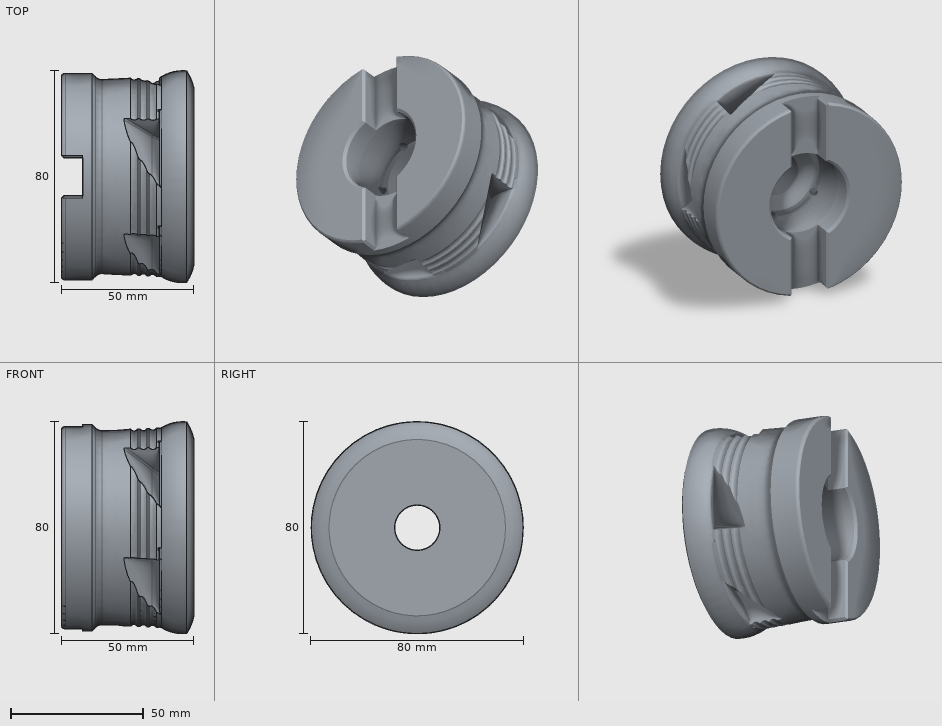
import cadquery as cq
import math

length = 50.0
rim_radius = 40.0
collar_radius = 78.0 / 2

collar_end = 11.45
collar_face_radius = 38.2
collar_round_middle = (0.65, 38.8)
collar_round_end = 1.45
collar_cone_end = 12.9
neck_blend_middle = (13.9, 36.9)
neck_blend_end = 15.4
neck_radius = 36.65
neck_taper = math.tan(math.radians(2.8))

groove_count = 3
first_groove = 26.0
groove_pitch = 3.5
groove_width = 2.8
groove_depth = 0.7

rim_start = 37.8
rim_lip = 37.0
rim_lip_radius = 36.65
rim_lip_middle = (37.2, 37.4)
rim_crest = 45.9
rim_edge = 47.2
end_face_radius = 33.3
rim_nose = (48.9, 36.8)
rim_root = 44.8
rim_root_radius = 20.8
rim_undercut_middle = (39.2, 28.8)

bore_radius = 32.0 / 2
relief_radius = 32.2 / 2
relief_start = 9.4
relief_end = 21.8
inner_land_start = 23.1
bore_floor = 25.0
bore_chamfer = 1.05
funnel_radius = 13.7
hole_radius = 17.0 / 2
funnel_slope = math.radians(30)
funnel_depth = (funnel_radius - hole_radius) * math.tan(funnel_slope)

slot_width = 14.25
slot_depth = 8.0
slot_chamfer = 1.0

pocket_count = 5
pocket_angle = 59.2
pocket_start = 23.6
pocket_start_height = 36.8
pocket_bend = 34.2
pocket_bend_height = 27.9
pocket_floor_radius = 26.4
pocket_wall_offset = 3.1
pocket_wall_skew = 3.6
pocket_root_fillet = 0.6
pocket_reach = 48.0

seat_start = 36.8
seat_wall_offset = 0.7
seat_floor_height = 35.2
seat_relief_radius = 0.5

coolant_radius = 3.0 / 2
coolant_angle = 40.0
coolant_tilt = 30.0
coolant_depth = 8.0


def neck_surface(x):
    """Radius of the tapered neck at x."""
    return neck_radius + (x - neck_blend_end) * neck_taper


def revolve_x(profile):
    return profile.close().revolve(360, (0, 0, 0), (1, 0, 0))


def make_body():
    profile = (
        cq.Workplane("XY")
        .lineTo(0, collar_face_radius)
        .threePointArc(collar_round_middle, (collar_round_end, collar_radius))
        .lineTo(collar_end, collar_radius)
        .lineTo(collar_cone_end, collar_radius - (collar_cone_end - collar_end))
        .threePointArc(neck_blend_middle, (neck_blend_end, neck_radius))
    )
    for i in range(groove_count):
        start = first_groove + i * groove_pitch
        middle = start + groove_width / 2
        end = start + groove_width
        profile = profile.lineTo(start, neck_surface(start)).threePointArc(
            (middle, neck_surface(middle) - groove_depth), (end, neck_surface(end))
        )
    profile = (
        profile.lineTo(rim_start, neck_surface(rim_start))
        .lineTo(rim_root, neck_surface(rim_start))
        .lineTo(rim_root, 0)
    )
    return revolve_x(profile)


def make_rim():
    """Rim with a convex crown, and a hollow undercut on the side toward the neck."""
    start_radius = neck_surface(rim_start)
    crown_drop = rim_radius - start_radius
    crown_radius = ((rim_crest - rim_start) ** 2 + crown_drop**2) / (2 * crown_drop)
    edge_drop = crown_radius - math.sqrt(crown_radius**2 - (rim_edge - rim_crest) ** 2)
    profile = (
        cq.Workplane("XY")
        .moveTo(rim_root, 0)
        .lineTo(rim_root, rim_root_radius)
        .threePointArc(rim_undercut_middle, (rim_lip, rim_lip_radius))
        .threePointArc(rim_lip_middle, (rim_start, start_radius))
        .threePointArc((rim_crest, rim_radius), (rim_edge, rim_radius - edge_drop))
        .threePointArc(rim_nose, (length, end_face_radius))
        .lineTo(length, 0)
    )
    return revolve_x(profile)


def make_bore():
    profile = (
        cq.Workplane("XY")
        .lineTo(0, bore_radius + bore_chamfer)
        .lineTo(bore_chamfer, bore_radius)
        .lineTo(relief_start, bore_radius)
        .lineTo(relief_start, relief_radius)
        .lineTo(relief_end, relief_radius)
        .lineTo(inner_land_start, bore_radius)
        .lineTo(bore_floor, bore_radius)
        .lineTo(bore_floor, funnel_radius)
        .lineTo(bore_floor + funnel_depth, hole_radius)
        .lineTo(length, hole_radius)
        .lineTo(length, 0)
    )
    return revolve_x(profile)


def make_slot():
    """Slot with chamfers along the collar face and along the outer ends of its walls."""
    half = slot_width / 2
    channel = (
        cq.Workplane("XY")
        .moveTo(0, -half - slot_chamfer)
        .lineTo(slot_chamfer, -half)
        .lineTo(slot_depth, -half)
        .lineTo(slot_depth, half)
        .lineTo(slot_chamfer, half)
        .lineTo(0, half + slot_chamfer)
        .close()
        .extrude(rim_radius, both=True)
    )
    flare_start = math.sqrt(collar_radius**2 - (half + slot_chamfer) ** 2) - slot_chamfer
    flare = rim_radius - flare_start
    mouth = (
        cq.Workplane("YZ")
        .moveTo(-half, flare_start)
        .lineTo(half, flare_start)
        .lineTo(half + flare, rim_radius)
        .lineTo(-half - flare, rim_radius)
        .close()
        .extrude(slot_depth)
    )
    return channel.union(mouth).union(mouth.mirror("XY"))


def pocket_floor_drop(angle, bend_angle):
    """Drop of the curved floor from its bend to the place where it slopes at the angle."""
    return pocket_floor_radius * (math.cos(angle) - math.cos(bend_angle))


def make_pocket():
    """Pocket and insert seat with the floor height along -Y and the wall facing -Z."""
    bend_angle = math.atan2(pocket_start_height - pocket_bend_height, pocket_bend - pocket_start)
    end_angle = math.asin(math.sin(bend_angle) - (rim_root - pocket_bend) / pocket_floor_radius)
    middle_angle = (bend_angle + end_angle) / 2
    middle = pocket_bend + pocket_floor_radius * (math.sin(bend_angle) - math.sin(middle_angle))
    middle_height = pocket_bend_height - pocket_floor_drop(middle_angle, bend_angle)
    end_height = pocket_bend_height - pocket_floor_drop(end_angle, bend_angle)
    ramp = (
        cq.Workplane("XY")
        .moveTo(pocket_start, -pocket_start_height)
        .lineTo(pocket_bend, -pocket_bend_height)
        .threePointArc((middle, -middle_height), (rim_root, -end_height))
        .lineTo(rim_root, -pocket_reach)
        .lineTo(pocket_start, -pocket_reach)
        .close()
        .extrude(-pocket_reach)
    )
    wall_drop = (rim_root - pocket_start) * math.tan(math.radians(pocket_wall_skew))
    wall_side = (
        cq.Workplane("XZ")
        .moveTo(pocket_start, -pocket_wall_offset)
        .lineTo(rim_root, -pocket_wall_offset - wall_drop)
        .lineTo(rim_root, -pocket_reach)
        .lineTo(pocket_start, -pocket_reach)
        .close()
        .extrude(pocket_reach)
    )
    pocket = ramp.intersect(wall_side)
    foot = cq.selectors.BoxSelector(
        (pocket_start, -pocket_start_height, -pocket_wall_offset),
        (rim_root, -end_height, -pocket_wall_offset - wall_drop),
    )
    pocket = pocket.edges(foot).fillet(pocket_root_fillet)
    seat_height = pocket_reach - seat_floor_height
    seat_corner = cq.Vector(seat_start, -pocket_reach, -2 * pocket_wall_offset)
    seat_thickness = seat_wall_offset + 2 * pocket_wall_offset
    seat = (
        cq.Workplane("XY")
        .box(rim_start - seat_start, seat_height, seat_thickness, centered=False)
        .translate(seat_corner)
    )
    relief = (
        cq.Workplane("XZ", origin=(0, -seat_floor_height, 0))
        .center(seat_start, seat_wall_offset - seat_relief_radius)
        .circle(seat_relief_radius)
        .extrude(seat_height)
    )
    return pocket.union(seat).union(relief)


def make_coolant_hole():
    """Blind hole through the corner of the bore floor, leaning outward, on the -Y side."""
    tilt = math.radians(coolant_tilt)
    axis = cq.Vector(math.cos(tilt), -math.sin(tilt), 0)
    corner = cq.Vector(bore_floor, -bore_radius, 0)
    hole = cq.Solid.makeCylinder(
        coolant_radius, 2 * coolant_depth, corner - axis * coolant_depth, axis
    )
    return cq.Workplane(hole)


def around_axis(tool, first_angle):
    """One copy of the tool for each pocket, turned about X from the -Y side toward +Z."""
    step = 360 / pocket_count
    return [
        tool.rotate((0, 0, 0), (1, 0, 0), -(first_angle + i * step)) for i in range(pocket_count)
    ]


result = make_body()
for pocket in around_axis(make_pocket(), pocket_angle):
    result = result.cut(pocket)
result = result.union(make_rim()).cut(make_bore()).cut(make_slot())
for hole in around_axis(make_coolant_hole(), coolant_angle):
    result = result.cut(hole)